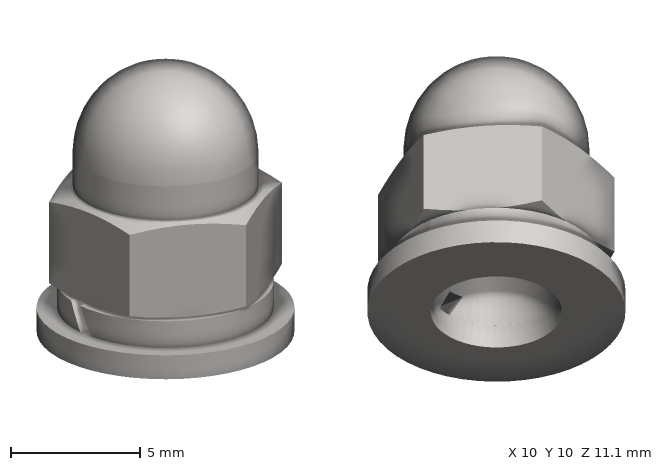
import cadquery as cq
import math

TOTAL_HEIGHT = 11.1
BORE_DIAMETER = 5.1

WASHER_DIAMETER = 10.0
WASHER_THICKNESS = 1.0

SPRING_DIAMETER = 8.4
SPRING_THICKNESS = 1.1
SPLIT_WIDTH = 0.62
SPLIT_ANGLE = 30.0

ACROSS_FLATS = 8.0
HEX_HEIGHT = 4.0
CHAMFER_CIRCLE_RATIO = 0.95
CHAMFER_ANGLE = 20.0
DOME_DIAMETER = 7.2

SPRING_BASE = WASHER_THICKNESS
NUT_BASE = SPRING_BASE + SPRING_THICKNESS
CORNER_RADIUS = ACROSS_FLATS / math.sqrt(3)
END_FACE_RADIUS = CHAMFER_CIRCLE_RATIO * ACROSS_FLATS / 2
CORNER_DROP = (CORNER_RADIUS - END_FACE_RADIUS) * math.tan(math.radians(CHAMFER_ANGLE))
DOME_RADIUS = DOME_DIAMETER / 2
NUT_HEIGHT = TOTAL_HEIGHT - NUT_BASE
DOME_BASE = NUT_HEIGHT - DOME_RADIUS


def ring(diameter, thickness, base):
    """Flat ring around the common bore."""
    return (
        cq.Workplane("XY", origin=(0, 0, base))
        .circle(diameter / 2)
        .circle(BORE_DIAMETER / 2)
        .extrude(thickness)
    )


def make_spring_washer():
    """Ring cut through on its -Y side by one slanted split."""
    lean = SPRING_THICKNESS * math.tan(math.radians(SPLIT_ANGLE))
    half_width = SPLIT_WIDTH / 2
    split = (
        cq.Workplane("XZ", origin=(0, 0, SPRING_BASE))
        .moveTo(-half_width, 0)
        .lineTo(half_width, 0)
        .lineTo(half_width - lean, SPRING_THICKNESS)
        .lineTo(-half_width - lean, SPRING_THICKNESS)
        .close()
        .extrude(SPRING_DIAMETER)
    )
    return ring(SPRING_DIAMETER, SPRING_THICKNESS, SPRING_BASE).cut(split)


def make_hexagon():
    """Hexagon with corners on X, chamfered conically at both ends."""
    prism = cq.Workplane("XY").polygon(6, 2 * CORNER_RADIUS).extrude(HEX_HEIGHT)
    chamfer_envelope = (
        cq.Workplane("XZ")
        .moveTo(0, 0)
        .lineTo(END_FACE_RADIUS, 0)
        .lineTo(CORNER_RADIUS, CORNER_DROP)
        .lineTo(CORNER_RADIUS, HEX_HEIGHT - CORNER_DROP)
        .lineTo(END_FACE_RADIUS, HEX_HEIGHT)
        .lineTo(0, HEX_HEIGHT)
        .close()
        .revolve(360, (0, 0), (0, 1))
    )
    return prism.intersect(chamfer_envelope)


def make_cap():
    """Cylinder closed by a hemispherical dome, running down to the nut's base."""
    arc_offset = DOME_RADIUS * math.sqrt(0.5)
    return (
        cq.Workplane("XZ")
        .moveTo(0, 0)
        .lineTo(DOME_RADIUS, 0)
        .lineTo(DOME_RADIUS, DOME_BASE)
        .threePointArc((arc_offset, DOME_BASE + arc_offset), (0, NUT_HEIGHT))
        .close()
        .revolve(360, (0, 0), (0, 1))
    )


def make_cap_nut():
    """Hexagon and cap in one body, with a blind bore ending at the dome's base."""
    bore = cq.Workplane("XY").circle(BORE_DIAMETER / 2).extrude(DOME_BASE)
    return make_hexagon().union(make_cap()).cut(bore).translate((0, 0, NUT_BASE))


flat_washer = ring(WASHER_DIAMETER, WASHER_THICKNESS, 0)
spring_washer = make_spring_washer()
cap_nut = make_cap_nut()

result = cq.Compound.makeCompound([flat_washer.val(), spring_washer.val(), cap_nut.val()])